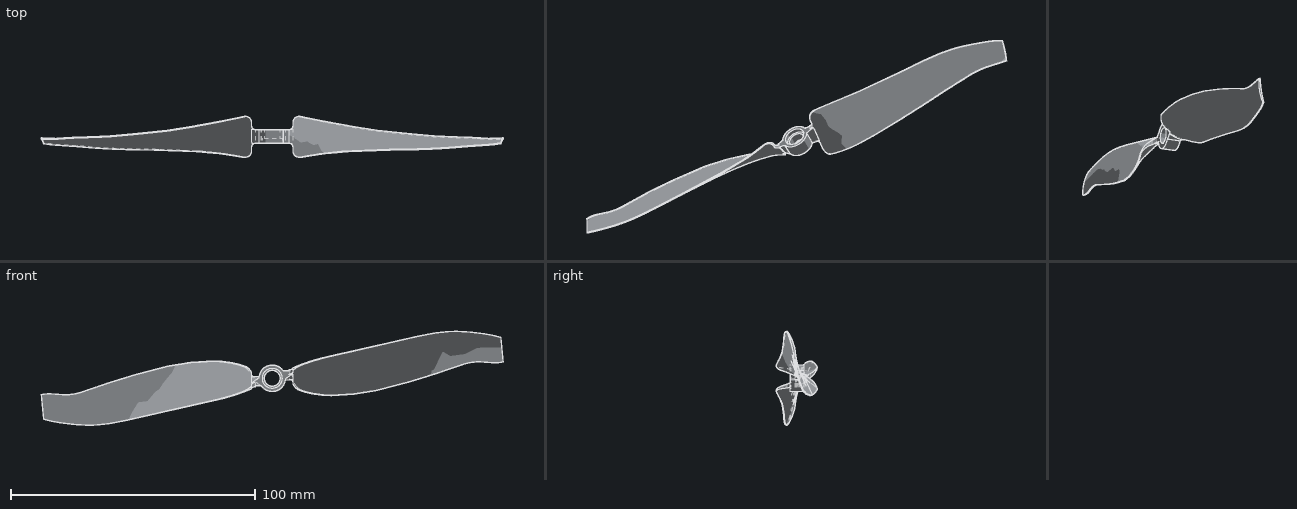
import cadquery as cq
import math

HUB_RADIUS = 5.45
HUB_BACK = 3.0
HUB_FRONT = -2.7
BORE_RADIUS = 3.2
COUNTERBORE_RADIUS = 4.1
COUNTERBORE_DEPTH = 2.0

ARM_TOP = 0.8
ARM_BOTTOM = -3.1
ARM_THICKNESS = 1.1
ARM_OUTER_X = -8.5
ARM_INNER_X = -4.6

ROOT_CAMBER_RATIO = 0.075
TIP_CAMBER_RATIO = 0.05
ROOT_THICKNESS = 1.9
TIP_THICKNESS = 0.9
EDGE_THICKNESS = 0.45

ROOT_X = -8.4
ROOT_BACK = 8.45
ROOT_FRONT = -8.41
ROOT_CORNER_RADIUS = 2.7
NECK_X = -6.8
NECK_FILLET = 1.4
TIP_X = -94.61
TIP_HEIGHT = -6.9
TIP_SLANT = 5.4

STOCK_MARGIN = 30.0
STOCK_HEIGHT = 60.0

BLADE_STATIONS = [
    (-96.0, (-0.3, -7.2), (-2.1, -15.9)),
    (-84.0, (-0.5, -6.75), (-3.55, -18.6)),
    (-74.0, (-0.2, -4.35), (-4.35, -19.22)),
    (-64.0, (0.4, -0.9), (-4.95, -18.1)),
    (-53.5, (1.4, 2.2), (-5.2, -15.8)),
    (-43.0, (2.5, 4.9), (-5.4, -13.4)),
    (-33.0, (4.1, 6.5), (-5.8, -11.1)),
    (-23.0, (5.95, 7.0), (-6.6, -8.9)),
    (-11.5, (8.3, 4.9), (-8.4, -5.4)),
    (-5.0, (9.4, 2.5), (-9.1, -3.0)),
]


def tapered(root_value, tip_value, x):
    """Value at x of a quantity that changes evenly from the blade root to the tip."""
    return root_value + (tip_value - root_value) * (x - ROOT_X) / (TIP_X - ROOT_X)


def blade_section(x, upper, lower):
    """Cambered section in a plane of constant x, blunt at both edges, hollow on its front face."""
    chord_y = lower[0] - upper[0]
    chord_z = lower[1] - upper[1]
    chord = math.hypot(chord_y, chord_z)
    back = (-chord_z / chord, chord_y / chord)
    middle = ((upper[0] + lower[0]) / 2, (upper[1] + lower[1]) / 2)

    def shifted(point, distance):
        return cq.Vector(x, point[0] + back[0] * distance, point[1] + back[1] * distance)

    half_edge = EDGE_THICKNESS / 2
    half_middle = tapered(ROOT_THICKNESS, TIP_THICKNESS, x) / 2
    camber = tapered(ROOT_CAMBER_RATIO, TIP_CAMBER_RATIO, x) * chord
    upper_back = shifted(upper, half_edge)
    upper_front = shifted(upper, -half_edge)
    lower_back = shifted(lower, half_edge)
    lower_front = shifted(lower, -half_edge)
    return cq.Wire.assembleEdges([
        cq.Edge.makeThreePointArc(upper_back, shifted(middle, camber + half_middle), lower_back),
        cq.Edge.makeLine(lower_back, lower_front),
        cq.Edge.makeThreePointArc(lower_front, shifted(middle, camber - half_middle), upper_front),
        cq.Edge.makeLine(upper_front, upper_back),
    ])


def root_trim():
    """Block with the rounded corners of the blade root, necked down to the width of the arm."""
    length = ROOT_X - TIP_X + STOCK_MARGIN
    root = (
        cq.Workplane("XY")
        .box(length, ROOT_BACK - ROOT_FRONT, STOCK_HEIGHT)
        .translate((ROOT_X - length / 2, (ROOT_BACK + ROOT_FRONT) / 2, 0))
        .edges("|Z and >X")
        .fillet(ROOT_CORNER_RADIUS)
    )
    neck_length = NECK_X - ROOT_X + ROOT_CORNER_RADIUS
    neck = (
        cq.Workplane("XY")
        .box(neck_length, HUB_BACK - HUB_FRONT, STOCK_HEIGHT)
        .translate((NECK_X - neck_length / 2, (HUB_BACK + HUB_FRONT) / 2, 0))
    )
    inside_corners = cq.selectors.BoxSelector(
        (ROOT_X - NECK_FILLET, ROOT_FRONT, -STOCK_HEIGHT),
        (ROOT_X + NECK_FILLET, ROOT_BACK, STOCK_HEIGHT),
    )
    return root.union(neck).edges("|Z").edges(inside_corners).fillet(NECK_FILLET)


def tip_trim():
    """Block that removes everything beyond the slanted tip."""
    return (
        cq.Workplane("XY")
        .box(STOCK_MARGIN, STOCK_MARGIN, 2 * STOCK_HEIGHT)
        .translate((-STOCK_MARGIN / 2, 0, 0))
        .rotate((0, 0, 0), (0, 1, 0), -TIP_SLANT)
        .translate((TIP_X, 0, TIP_HEIGHT))
    )


def blade():
    sections = [blade_section(*station) for station in BLADE_STATIONS]
    sheet = cq.Workplane(cq.Solid.makeLoft(sections))
    return sheet.intersect(root_trim()).cut(tip_trim())


def arm():
    """Arm that turns from the slanted blade section into a full rectangle that runs into the hub."""
    blade_end = [
        (HUB_BACK, ARM_TOP),
        (HUB_BACK, ARM_TOP - ARM_THICKNESS),
        (HUB_FRONT, ARM_BOTTOM),
        (HUB_FRONT, ARM_BOTTOM + ARM_THICKNESS),
    ]
    hub_end = [
        (HUB_BACK, ARM_TOP),
        (HUB_BACK, ARM_BOTTOM),
        (HUB_FRONT, ARM_BOTTOM),
        (HUB_FRONT, ARM_TOP),
    ]
    turning_part = (
        cq.Workplane("YZ", origin=(ARM_OUTER_X, 0, 0))
        .polyline(blade_end)
        .close()
        .workplane(offset=ARM_INNER_X - ARM_OUTER_X)
        .polyline(hub_end)
        .close()
        .loft(ruled=True)
    )
    inner_part = (
        cq.Workplane("YZ", origin=(ARM_INNER_X, 0, 0))
        .polyline(hub_end)
        .close()
        .extrude(-ARM_INNER_X)
    )
    return turning_part.union(inner_part)


def hub_cylinder(radius, front, back):
    return cq.Workplane("XZ", origin=(0, back, 0)).circle(radius).extrude(back - front)


one_side = blade().union(arm())
other_side = one_side.rotate((0, 0, 0), (0, 1, 0), 180)
hub = hub_cylinder(HUB_RADIUS, HUB_FRONT, HUB_BACK)
bore = hub_cylinder(BORE_RADIUS, HUB_FRONT, HUB_BACK)
counterbore = hub_cylinder(COUNTERBORE_RADIUS, HUB_FRONT, HUB_FRONT + COUNTERBORE_DEPTH)

result = hub.union(one_side).union(other_side).cut(bore).cut(counterbore)